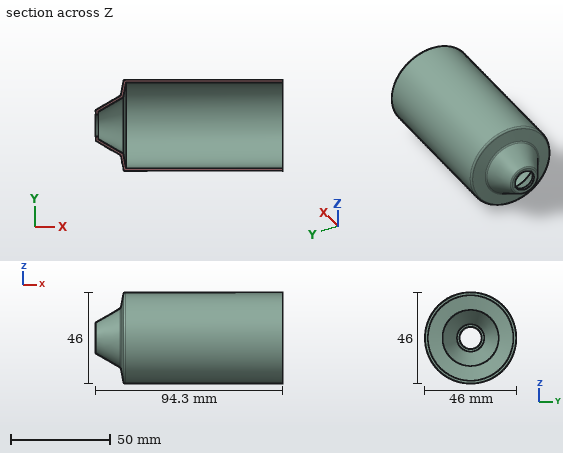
import cadquery as cq
import math

length = 94.3
body_diameter = 46.0
bore_diameter = 43.0
tip_hole_diameter = 11.0

tip_radius = 7.7
nose_length = 12.7
nose_angle = 30.0
shoulder_angle = 10.6
edge_radius = 1.0

body_radius = body_diameter / 2
bore_radius = bore_diameter / 2
wall = body_radius - bore_radius
nose_slope = math.tan(math.radians(nose_angle))
shoulder_slope = math.tan(math.radians(shoulder_angle))
root_radius = tip_radius + nose_length * nose_slope
rim_x = nose_length + (body_radius - root_radius) * shoulder_slope

nose_inset = wall / math.cos(math.radians(nose_angle))
shoulder_inset = wall / math.cos(math.radians(shoulder_angle))
cavity_tip_radius = tip_radius + wall * nose_slope - nose_inset
cavity_root_x = nose_length + (
    (shoulder_inset - nose_inset * shoulder_slope) / (1 - nose_slope * shoulder_slope)
)
cavity_root_radius = tip_radius + cavity_root_x * nose_slope - nose_inset
cavity_rim_x = rim_x + shoulder_inset - wall * shoulder_slope


def revolve_about_x(points):
    """Revolve a closed (x, radius) outline around the X axis."""
    return cq.Workplane("XY").polyline(points).close().revolve(360, (0, 0, 0), (1, 0, 0))


def make_outer_body():
    body = revolve_about_x([
        (0, 0),
        (0, tip_radius),
        (nose_length, root_radius),
        (rim_x, body_radius),
        (length, body_radius),
        (length, 0),
    ])
    rounded_edges = cq.selectors.BoxSelector(
        (-wall, -body_diameter, -body_diameter),
        (rim_x + wall, body_diameter, body_diameter),
    )
    return body.edges("%CIRCLE").edges(rounded_edges).fillet(edge_radius)


def make_cavity():
    return revolve_about_x([
        (wall, 0),
        (wall, cavity_tip_radius),
        (cavity_root_x, cavity_root_radius),
        (cavity_rim_x, bore_radius),
        (length, bore_radius),
        (length, 0),
    ])


def make_tip_hole():
    return cq.Workplane("YZ").circle(tip_hole_diameter / 2).extrude(2 * wall)


result = make_outer_body().cut(make_cavity()).cut(make_tip_hole())